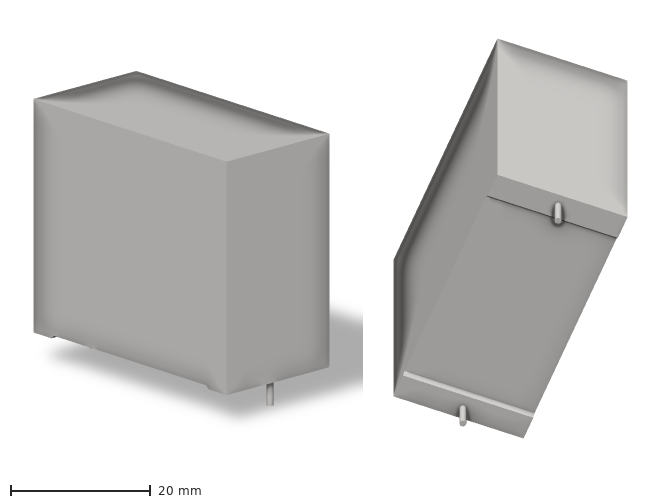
import cadquery as cq

length = 41.0
width = 20.0
total_height = 39.0
housing_height = 35.0

foot_length = 3.85
relief_depth = 0.5
relief_run = 0.5

lead_diameter = 1.0
lead_pitch = 37.5
pin_length = total_height - housing_height
bridge_height = 4.9
bend_radius = 2 * lead_diameter


def make_lead():
    """Bend one round wire into a U, with both ends pointing down as pins."""
    half_pitch = lead_pitch / 2
    straight_top = bridge_height - bend_radius
    bridge_end = half_pitch - bend_radius
    path = (
        cq.Workplane("XZ")
        .moveTo(-half_pitch, -pin_length)
        .lineTo(-half_pitch, straight_top)
        .tangentArcPoint((-bridge_end, bridge_height), relative=False)
        .lineTo(bridge_end, bridge_height)
        .tangentArcPoint((half_pitch, straight_top), relative=False)
        .lineTo(half_pitch, -pin_length)
    )
    return (
        cq.Workplane("XY", origin=(-half_pitch, 0, -pin_length))
        .circle(lead_diameter / 2)
        .sweep(path)
        .val()
    )


def make_housing(lead_body):
    """Extrude the box with its relieved underside, then cut the channel for the lead."""
    half_length = length / 2
    foot_end = half_length - foot_length
    relief_end = foot_end - relief_run
    box = (
        cq.Workplane("XZ")
        .polyline([
            (-half_length, housing_height),
            (-half_length, 0),
            (-foot_end, 0),
            (-relief_end, relief_depth),
            (relief_end, relief_depth),
            (foot_end, 0),
            (half_length, 0),
            (half_length, housing_height),
        ])
        .close()
        .extrude(width / 2, both=True)
    )
    return box.cut(lead_body).solids().val()


lead = make_lead()
housing = make_housing(lead)

result = cq.Compound.makeCompound([housing, lead])